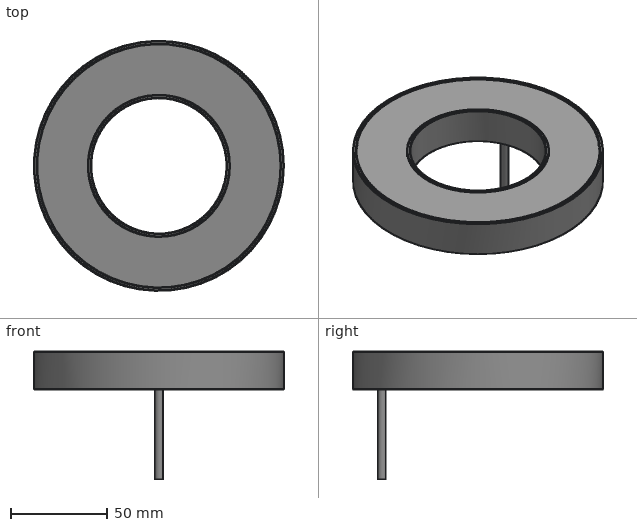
import cadquery as cq

OUTER_DIAMETER = 130.0
BORE_DIAMETER = 70.0
RING_HEIGHT = 20.0
EDGE_CHAMFER = 0.5

RIM_WIDTH = 1.5
CORE_SETBACK = 0.5
GROOVE_WIDTH = 0.5
GROOVE_DEPTH = 3.0

PIN_DIAMETER = 4.3
TOTAL_HEIGHT = 66.5
PIN_LENGTH = TOTAL_HEIGHT - RING_HEIGHT
PIN_RADIAL_POSITION = (OUTER_DIAMETER + BORE_DIAMETER) / 4

RECESS_INNER_RADIUS = BORE_DIAMETER / 2 + RIM_WIDTH
RECESS_OUTER_RADIUS = OUTER_DIAMETER / 2 - RIM_WIDTH
CORE_TOP = RING_HEIGHT - CORE_SETBACK


def annulus(inner_radius, outer_radius, bottom, top):
    """Ring of rectangular section about the Z axis, from bottom to top."""
    outline = cq.Workplane("XY").workplane(offset=bottom).circle(outer_radius).circle(inner_radius)
    return outline.extrude(top - bottom)


def ring_body():
    """Flat ring with all four circular edges chamfered."""
    ring = annulus(BORE_DIAMETER / 2, OUTER_DIAMETER / 2, 0, RING_HEIGHT)
    return ring.edges("%CIRCLE").chamfer(EDGE_CHAMFER)


def core_recess():
    """Cutter that sets the core back between the inner and outer rims."""
    return annulus(RECESS_INNER_RADIUS, RECESS_OUTER_RADIUS, CORE_TOP, RING_HEIGHT)


def rim_grooves():
    """Cutters for the two narrow grooves, one along each rim."""
    groove_bottom = CORE_TOP - GROOVE_DEPTH
    inner_groove = annulus(
        RECESS_INNER_RADIUS, RECESS_INNER_RADIUS + GROOVE_WIDTH, groove_bottom, RING_HEIGHT
    )
    outer_groove = annulus(
        RECESS_OUTER_RADIUS - GROOVE_WIDTH, RECESS_OUTER_RADIUS, groove_bottom, RING_HEIGHT
    )
    return inner_groove.union(outer_groove)


def pin():
    """Plain round pin below the ring on the -Y side."""
    base = cq.Workplane("XY").center(0, -PIN_RADIAL_POSITION)
    return base.circle(PIN_DIAMETER / 2).extrude(-PIN_LENGTH)


result = ring_body().cut(core_recess()).cut(rim_grooves()).union(pin())